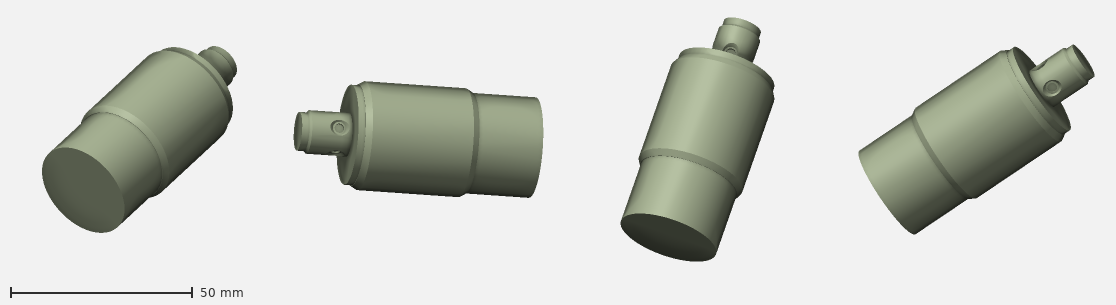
import cadquery as cq

total_length = 66.0
body_diameter = 30.0
nose_diameter = 27.7
bevel_end_diameter = 28.0
nose_length = 18.0
bevel_length = 1.8
collar_length = 2.0
collar_diameter = 27.6

stub_length = 14.0
stub_diameter = 12.0
tip_diameter = 10.7
tip_length = 2.05
tip_chamfer = (stub_diameter - tip_diameter) / 2

dimple_count = 4
dimple_from_shoulder = 3.5
dimple_mouth_diameter = 5.4
dimple_seat_diameter = 3.7
dimple_floor_diameter = 2.65

shoulder_y = total_length - stub_length
body_end_y = shoulder_y - collar_length
tip_start_y = total_length - tip_length


def make_turned_body():
    """Revolve the half outline, given as (radius, Y), about the Y axis."""
    nose_radius = nose_diameter / 2
    bevel_end_radius = bevel_end_diameter / 2
    body_radius = body_diameter / 2
    stub_radius = stub_diameter / 2
    tip_radius = tip_diameter / 2
    outline = [
        (0, 0),
        (nose_radius, 0),
        (nose_radius, nose_length),
        (bevel_end_radius, nose_length),
        (body_radius, nose_length + bevel_length),
        (body_radius, body_end_y - bevel_length),
        (bevel_end_radius, body_end_y),
        (collar_diameter / 2, body_end_y),
        (collar_diameter / 2, shoulder_y),
        (stub_radius, shoulder_y),
        (stub_radius, tip_start_y - tip_chamfer),
        (tip_radius, tip_start_y),
        (tip_radius, total_length),
        (0, total_length),
    ]
    return cq.Workplane("XY").polyline(outline).close().revolve(360, (0, 0), (0, 1))


def make_dimple_cutter():
    """Conical cutter pointing inward from +Z, with its mouth at the stub surface."""
    mouth_radius = dimple_mouth_diameter / 2
    seat_radius = dimple_seat_diameter / 2
    floor_radius = dimple_floor_diameter / 2
    mouth_z = stub_diameter / 2
    seat_z = mouth_z - (mouth_radius - seat_radius)
    floor_z = seat_z - (seat_radius - floor_radius)
    outline = [
        (0, floor_z),
        (floor_radius, floor_z),
        (floor_radius, seat_z),
        (seat_radius, seat_z),
        (mouth_radius, mouth_z),
        (0, mouth_z),
    ]
    cutter = cq.Workplane("XZ").polyline(outline).close().revolve(360, (0, 0), (0, 1))
    return cutter.translate((0, shoulder_y + dimple_from_shoulder, 0))


result = make_turned_body()
dimple_cutter = make_dimple_cutter()
for index in range(dimple_count):
    angle = index * 360 / dimple_count
    result = result.cut(dimple_cutter.rotate((0, 0, 0), (0, 1, 0), angle))